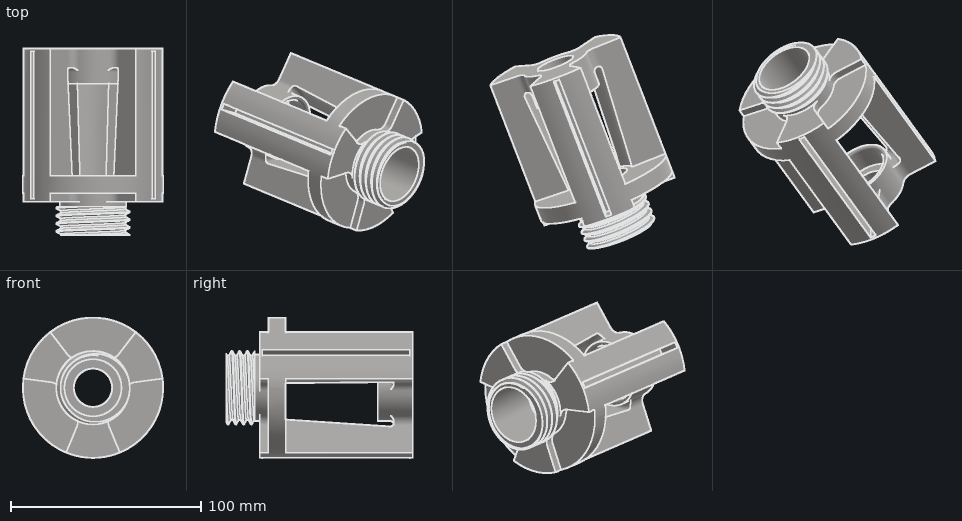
import math

import cadquery as cq


body_diameter = 73.79
body_length = 80.5
tube_diameter = 35.0
bore_diameter = 30.0

blade_angles = (30, 150, 270)
blade_span = 45
root_fillet = 5.0

disc_start = 4.6
disc_thickness = 9.15
disc_end = disc_start + disc_thickness

ring_length = 18.5
ring_floor_thickness = 6.0
ring_hole_diameter = 20.0
ring_mouth_round = 1.2

groove_depth_from_rear = 10.0
groove_round = 2.0
cavity_radius_at_disc = 18.0

slot_width = 3.2
slot_end_margin = 1.5
slot_depth = 12.0

nose_length = 17.5
neck_length = 2.5
thread_root_diameter = 34.13
thread_crest_diameter = 38.6
thread_pitch = 4.08
thread_base_width = 3.2
thread_crest_width = 0.4
thread_overlap = 0.2
thread_phase = 108

body_radius = body_diameter / 2
tube_radius = tube_diameter / 2
ring_front = body_length - ring_length
ring_floor = body_length - ring_floor_thickness
groove_bottom = body_length - groove_depth_from_rear
fillet_end_radius = math.sqrt((tube_radius + root_fillet) ** 2 - root_fillet**2)
round_start = groove_bottom - groove_round
fillet_turn = math.degrees(math.asin(root_fillet / (tube_radius + root_fillet)))


def cylinder(diameter, start, end):
    """Solid cylinder on the Y axis between two depths."""
    return cq.Workplane("XZ", origin=(0, start, 0)).circle(diameter / 2).extrude(start - end)


def polar(radius, angle):
    """Point in the XZ plane at an angle in degrees from +X toward +Z."""
    turn = math.radians(angle)
    return radius * math.cos(turn), radius * math.sin(turn)


def blade(center_angle):
    """Sector-shaped blade along the whole body, with flat radial sides."""
    low = center_angle - blade_span / 2
    high = center_angle + blade_span / 2
    return (
        cq.Workplane("XZ")
        .lineTo(*polar(body_radius, low))
        .threePointArc(polar(body_radius, center_angle), polar(body_radius, high))
        .close()
        .extrude(-body_length)
    )


def root_flare(center_angle, side, start, end):
    """Concave fillet between the tube and one side of a blade (side is -1 or 1)."""
    side_angle = center_angle + side * blade_span / 2
    center_x, center_z = polar(tube_radius + root_fillet, side_angle + side * fillet_turn)
    toward_axis = side_angle + side * (fillet_turn + 180)
    toward_side = side_angle + side * 270
    offset_x, offset_z = polar(root_fillet, (toward_axis + toward_side) / 2)
    return (
        cq.Workplane("XZ", origin=(0, start, 0))
        .lineTo(*polar(fillet_end_radius, side_angle))
        .threePointArc(
            (center_x + offset_x, center_z + offset_z),
            polar(tube_radius, side_angle + side * fillet_turn),
        )
        .close()
        .extrude(start - end)
    )


def blade_slot(center_angle):
    """Narrow radial slot in the outer face of a blade, closed at both ends."""
    length = body_length - 2 * slot_end_margin
    slot = cq.Workplane("XY").box(2 * slot_depth, length, slot_width)
    slot = slot.translate((body_radius, body_length / 2, 0))
    return slot.rotate((0, 0, 0), (0, 1, 0), -center_angle)


def cavity():
    """Tapered clearance around the axis, ending in a round-bottomed groove outside the rear ring."""
    return (
        cq.Workplane("XY")
        .moveTo(0, disc_end)
        .lineTo(cavity_radius_at_disc, disc_end)
        .lineTo(fillet_end_radius, round_start)
        .radiusArc((fillet_end_radius - groove_round, groove_bottom), -groove_round)
        .lineTo(tube_radius + groove_round, groove_bottom)
        .radiusArc((tube_radius, round_start), -groove_round)
        .lineTo(tube_radius, ring_front)
        .lineTo(0, ring_front)
        .close()
        .revolve(360, (0, 0, 0), (0, 1, 0))
    )


def ring_mouth_cut():
    """Rounded flare that widens the bore at the open end of the rear ring."""
    bore_radius = bore_diameter / 2
    return (
        cq.Workplane("XY")
        .moveTo(0, ring_front)
        .lineTo(bore_radius + ring_mouth_round, ring_front)
        .radiusArc((bore_radius, ring_front + ring_mouth_round), ring_mouth_round)
        .lineTo(0, ring_front + ring_mouth_round)
        .close()
        .revolve(360, (0, 0, 0), (0, 1, 0))
    )


def thread():
    """Helical ridge on the nose, cut flat at the neck and at the front end."""
    root_radius = thread_root_diameter / 2 - thread_overlap
    crest_radius = thread_crest_diameter / 2
    helix_height = nose_length + thread_pitch
    helix = cq.Wire.makeHelix(thread_pitch, helix_height, root_radius)
    ridge = (
        cq.Workplane("XZ")
        .moveTo(root_radius, -thread_base_width / 2)
        .lineTo(crest_radius, -thread_crest_width / 2)
        .lineTo(crest_radius, thread_crest_width / 2)
        .lineTo(root_radius, thread_base_width / 2)
        .close()
        .sweep(cq.Workplane(obj=helix), isFrenet=True)
    )
    ridge = ridge.rotate((0, 0, 0), (1, 0, 0), 90).rotate((0, 0, 0), (0, 1, 0), thread_phase)
    return ridge.intersect(cylinder(2 * thread_crest_diameter, -nose_length, -neck_length))


def bladed_body():
    """Tube, disc and three slotted blades around the tapered cavity."""
    body = cylinder(tube_diameter, 0, body_length)
    body = body.union(cylinder(body_diameter, disc_start, disc_end))
    for angle in blade_angles:
        body = body.union(blade(angle))
        for side in (-1, 1):
            body = body.union(root_flare(angle, side, 0, disc_end))
            body = body.union(root_flare(angle, side, round_start, body_length))
    body = body.cut(cavity())
    for angle in blade_angles:
        body = body.cut(blade_slot(angle))
    return body


def threaded_nose():
    """Plain neck followed by the threaded length."""
    neck = cylinder(tube_diameter, -neck_length, 0)
    core = cylinder(thread_root_diameter, -nose_length, -neck_length)
    return neck.union(core).union(thread())


result = bladed_body().union(threaded_nose())
result = result.cut(cylinder(bore_diameter, -nose_length, ring_floor))
result = result.cut(cylinder(ring_hole_diameter, ring_floor, body_length))
result = result.cut(ring_mouth_cut())